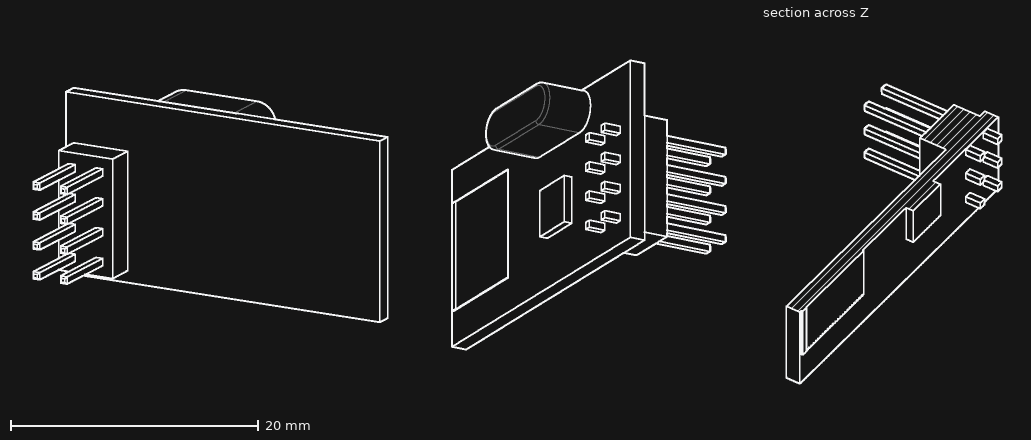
import cadquery as cq


board_width = 29
board_height = 15.3
board_thickness = 1.33
front_face_y = -board_thickness

pin_pitch = 2.52
pin_columns = 2
pin_rows = 4
header_left = 0.72
header_bottom = 1.02
header_depth = 2.52
header_width = 5.0
header_height = pin_rows * pin_pitch
header_center_x = header_left + header_width / 2
header_center_z = header_bottom + header_height / 2
pin_size = 0.6
pin_front_length = 6.12
pin_back_length = 1.42
pin_tip_chamfer = 0.15

crystal_left = 6.47
crystal_length = 10.05
crystal_width = 3.55
crystal_height = 4.12
crystal_edge_radius = 0.3
crystal_top_gap = 0.03
crystal_center_x = crystal_left + crystal_length / 2
crystal_center_z = board_height - crystal_top_gap - crystal_width / 2

chip_size = 4.0
chip_height = 0.7
chip_bottom = 4.32

antenna_left = 19.8
antenna_right = 28.77
antenna_bottom = 3.0
antenna_thickness = 0.1
antenna_edge_width = 0.58
antenna_edge_thickness = 0.122
antenna_height = board_height - 2 * antenna_bottom


def block(x, y, z, width, depth, height):
    """Box with its lowest corner at (x, y, z)."""
    return cq.Workplane("XY").box(width, depth, height, centered=False).translate((x, y, z))


def make_pin(center_x, center_z):
    """Square pin through header and board, with a chamfered front tip."""
    tip_y = front_face_y - header_depth - pin_front_length
    pin = block(
        center_x - pin_size / 2, tip_y, center_z - pin_size / 2,
        pin_size, pin_back_length - tip_y, pin_size,
    )
    return pin.faces("<Y").chamfer(pin_tip_chamfer)


def make_crystal():
    """Can with round ends and a rounded outer rim, standing on the back face."""
    can = (
        cq.Workplane("XZ", origin=(crystal_center_x, 0, crystal_center_z))
        .slot2D(crystal_length, crystal_width)
        .extrude(-crystal_height)
    )
    return can.faces(">Y").edges().fillet(crystal_edge_radius)


board = block(0, front_face_y, 0, board_width, board_thickness, board_height)
header = block(
    header_left, front_face_y - header_depth, header_bottom,
    header_width, header_depth, header_height,
)
chip = block(
    crystal_center_x - chip_size / 2, 0, chip_bottom,
    chip_size, chip_height, chip_size,
)
antenna = block(
    antenna_left, 0, antenna_bottom,
    antenna_right - antenna_left, antenna_thickness, antenna_height,
)
antenna_edge = block(
    antenna_right - antenna_edge_width, 0, antenna_bottom,
    antenna_edge_width, antenna_edge_thickness, antenna_height,
)

result = board
for component in (header, make_crystal(), chip, antenna, antenna_edge):
    result = result.union(component)

for column in range(pin_columns):
    for row in range(pin_rows):
        pin_x = header_center_x + (column - (pin_columns - 1) / 2) * pin_pitch
        pin_z = header_center_z + (row - (pin_rows - 1) / 2) * pin_pitch
        result = result.union(make_pin(pin_x, pin_z))